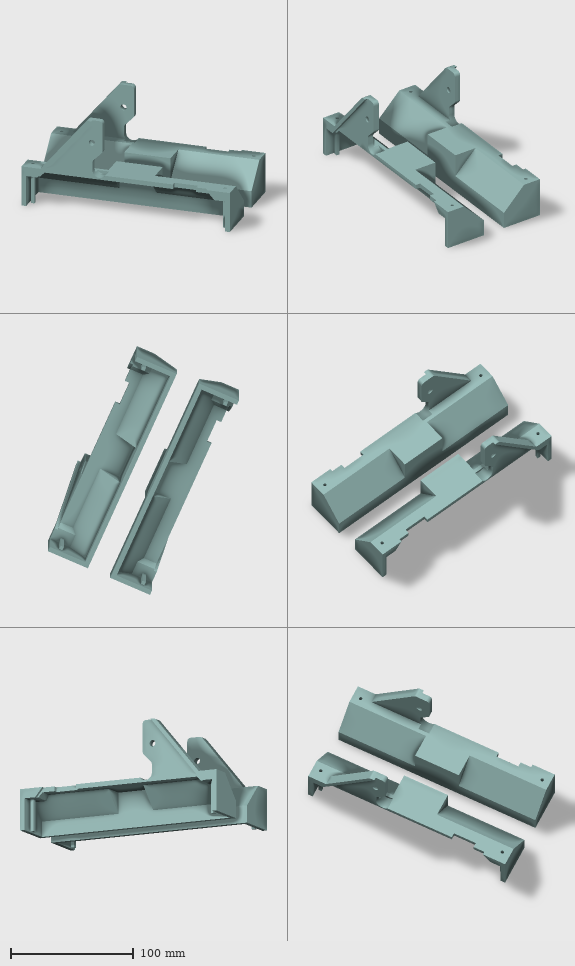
import cadquery as cq
import math

LENGTH = 180.0
TOTAL_WIDTH = 91.31
TOTAL_HEIGHT = 82.2
GAP = 20.0
BASE_HEIGHT = 34.5
WALL = 4.0
BEVEL = 20.0
BEVEL_LENGTH = 70.0

OUTER_Y = -TOTAL_WIDTH / 2
INNER_Y = -GAP / 2

PAD_THICKNESS = 8.0
PAD_END = 19.1

FIN_THICKNESS = 7.9
FIN_LEAN = math.tan(math.radians(40))
FIN_START = 16.2
FIN_END = 69.0
FIN_ROUND = 3.0
NECK_ROUND = 4.0
FIN_NECK_X = 60.5
FIN_SHOULDER_Z = BASE_HEIGHT + 20.2
FIN_HOLE_X = 60.0
FIN_HOLE_Z = 62.2
FIN_HOLE_DIAMETER = 5.25

RELIEF_RADIUS = 6.0
RELIEF_DROP = 2.5
RELIEF_WIDTH = 12.5
RELIEF_CENTER_X = FIN_NECK_X + RELIEF_RADIUS
RELIEF_CENTER_Z = BASE_HEIGHT - RELIEF_DROP + RELIEF_RADIUS

RECESS_DEPTH = 2.65
RECESS_MARGIN = 20.3
NOTCH_START = 130.0
NOTCH_LENGTH = 20.0
NOTCH_DEPTH = 4.0

SCREW_END_OFFSET = 7.0
SCREW_SIDE_OFFSET = 9.0
SCREW_DIAMETER = 2.75
POST_SIZE = 3.0


def block(x0, x1, y0, y1, z0, z1):
    """Box between two opposite corners."""
    return cq.Workplane("XY").box(x1 - x0, y1 - y0, z1 - z0, centered=False).translate((x0, y0, z0))


def plate(outline, thickness):
    """XZ outline extruded inward from the outer face."""
    return outline.extrude(-thickness)


def outer_face():
    return cq.Workplane("XZ", origin=(0, OUTER_Y, 0))


def mirrored_in_length(body):
    """The body together with its copy at the other end."""
    return body.union(body.mirror("YZ", (LENGTH / 2, 0, 0)))


def beveled_bar(inset):
    """Bar with both ends bevelled, its faces set in from the envelope by the inset."""
    top = BASE_HEIGHT - inset
    inner = INNER_Y - inset
    bevel_shift = inset * math.sqrt(2)
    bevel_low = BASE_HEIGHT - BEVEL + inset - bevel_shift
    bevel_run = top - bevel_low
    bevel_end = BEVEL_LENGTH + inset
    bar = block(inset, LENGTH - inset, OUTER_Y, inner, 0, top)
    bevel = (
        cq.Workplane("YZ")
        .polyline([(inner, bevel_low), (inner, top), (inner - bevel_run, top)])
        .close()
        .extrude(bevel_end)
    )
    return bar.cut(mirrored_in_length(bevel))


def end_pads():
    """Extra thickness under the top plate, filling the cavity across its width."""
    low = BASE_HEIGHT - PAD_THICKNESS
    slant = PAD_THICKNESS - WALL
    outline = outer_face().polyline(
        [(0, low), (PAD_END - slant, low), (PAD_END, BASE_HEIGHT - WALL), (0, BASE_HEIGHT - WALL)]
    ).close()
    pad = plate(outline, INNER_Y - OUTER_Y)
    return mirrored_in_length(pad).intersect(beveled_bar(0))


def end_posts():
    """Square posts standing from the pads down to the base plane."""
    half = POST_SIZE / 2
    y = OUTER_Y + SCREW_SIDE_OFFSET
    post = block(
        SCREW_END_OFFSET - half, SCREW_END_OFFSET + half, y - half, y + half,
        0, BASE_HEIGHT - PAD_THICKNESS,
    )
    return mirrored_in_length(post)


def fin():
    """Leaning fin with a narrow neck, standing on the outer edge of the top plate."""
    foot = BASE_HEIGHT - WALL
    neck_z = FIN_SHOULDER_Z - (FIN_END - FIN_NECK_X)
    outline = outer_face().polyline([
        (FIN_START, foot),
        (FIN_START, BASE_HEIGHT),
        (FIN_START + (TOTAL_HEIGHT - BASE_HEIGHT) * FIN_LEAN, TOTAL_HEIGHT),
        (FIN_END, TOTAL_HEIGHT),
        (FIN_END, FIN_SHOULDER_Z),
        (FIN_NECK_X, neck_z),
        (FIN_NECK_X, RELIEF_CENTER_Z),
        (RELIEF_CENTER_X, RELIEF_CENTER_Z - RELIEF_RADIUS),
        (RELIEF_CENTER_X, foot),
    ]).close()
    body = plate(outline, FIN_THICKNESS)
    middle_y = OUTER_Y + FIN_THICKNESS / 2
    neck_edge = cq.selectors.NearestToPointSelector((FIN_NECK_X, middle_y, neck_z))
    shoulder_edge = cq.selectors.NearestToPointSelector((FIN_END, middle_y, FIN_SHOULDER_Z))
    body = body.faces(">Z").edges("|Y").fillet(FIN_ROUND)
    body = body.edges(neck_edge).fillet(NECK_ROUND)
    body = body.edges(shoulder_edge).fillet(FIN_ROUND)
    hole = outer_face().center(FIN_HOLE_X, FIN_HOLE_Z).circle(FIN_HOLE_DIAMETER / 2)
    return body.cut(plate(hole, FIN_THICKNESS))


def relief():
    """Round-bottomed relief behind the neck, cut into the top plate."""
    outline = outer_face().center(RELIEF_CENTER_X, RELIEF_CENTER_Z).circle(RELIEF_RADIUS)
    return plate(outline, RELIEF_WIDTH)


def recess():
    """Shallow recess in the outer face, with slanted ends parallel to the fin edge."""
    fin_rise = (TOTAL_HEIGHT - BASE_HEIGHT) * FIN_LEAN
    right = LENGTH - RECESS_MARGIN
    pad_low = BASE_HEIGHT - PAD_THICKNESS
    pad_drop = PAD_THICKNESS * FIN_LEAN
    outline = outer_face().polyline([
        (RECESS_MARGIN - pad_drop, pad_low),
        (RECESS_MARGIN + fin_rise, TOTAL_HEIGHT),
        (right, TOTAL_HEIGHT),
        (right, BASE_HEIGHT),
        (right + pad_drop, pad_low),
    ]).close()
    return plate(outline, RECESS_DEPTH)


def notch():
    depth = RECESS_DEPTH + NOTCH_DEPTH
    return block(
        NOTCH_START, NOTCH_START + NOTCH_LENGTH, OUTER_Y, OUTER_Y + depth,
        BASE_HEIGHT - WALL, BASE_HEIGHT,
    )


def screw_holes():
    """Vertical holes through the pads, ending on the posts."""
    hole = (
        cq.Workplane("XY", origin=(SCREW_END_OFFSET, OUTER_Y + SCREW_SIDE_OFFSET, BASE_HEIGHT))
        .circle(SCREW_DIAMETER / 2)
        .extrude(-PAD_THICKNESS)
    )
    return mirrored_in_length(hole)


def bracket():
    shell = beveled_bar(0).cut(beveled_bar(WALL))
    body = shell.union(end_pads()).union(end_posts()).union(fin())
    for cutter in (relief(), recess(), notch(), screw_holes()):
        body = body.cut(cutter)
    return body


front_bracket = bracket()
rear_bracket = front_bracket.mirror("XZ")

result = cq.Compound.makeCompound([front_bracket.val(), rear_bracket.val()])